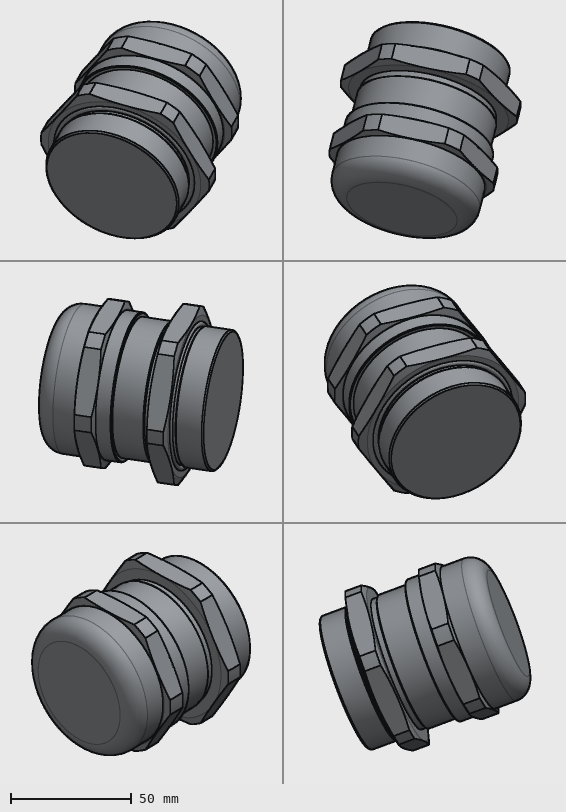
import cadquery as cq
import math


total_length = 72.52

thread_radius = 59.3 / 2
undercut_radius = 57.9 / 2
end_chamfer_length = 0.7
entry_thread_end = 12.25
cap_thread_start = 25.5
thread_runout_length = 0.5

hex_length = 9.0
hex_chamfer_angle = 15.0
body_hex_start = 14.0
body_hex_flats = 68.0
body_hex_corners = 75.0
cap_hex_start = 46.0
cap_hex_flats = 64.0
cap_hex_corners = 70.0

seal_outer_radius = 31.4
seal_section_radius = (seal_outer_radius - undercut_radius) / 2
seal_protrusion = 0.9

cap_radius = 63.0 / 2
cap_start = 39.2
cap_rim_chamfer = 0.4
dome_radius = 8.0


def revolve_about_axis(profile):
    """Turn a closed profile, drawn as (radius, position along Y), about the Y axis."""
    return profile.close().revolve(360, (0, 0, 0), (0, 1, 0))


def make_body():
    """Round body with a thread at each end and an undercut between them."""
    profile = (
        cq.Workplane("XY")
        .moveTo(0, 0)
        .lineTo(thread_radius - end_chamfer_length, 0)
        .lineTo(thread_radius, end_chamfer_length)
        .lineTo(thread_radius, entry_thread_end - thread_runout_length)
        .lineTo(undercut_radius, entry_thread_end)
        .lineTo(undercut_radius, cap_thread_start)
        .lineTo(thread_radius, cap_thread_start + thread_runout_length)
        .lineTo(thread_radius, cap_start)
        .lineTo(0, cap_start)
    )
    return revolve_about_axis(profile)


def make_cap():
    """Cap with a chamfered rim and a rounded closed end."""
    dome_start = total_length - dome_radius
    dome_flat_radius = cap_radius - dome_radius
    arc_offset = dome_radius * math.sqrt(0.5)
    profile = (
        cq.Workplane("XY")
        .moveTo(0, cap_start)
        .lineTo(cap_radius - cap_rim_chamfer, cap_start)
        .lineTo(cap_radius, cap_start + cap_rim_chamfer)
        .lineTo(cap_radius, dome_start)
        .threePointArc(
            (dome_flat_radius + arc_offset, dome_start + arc_offset),
            (dome_flat_radius, total_length),
        )
        .lineTo(0, total_length)
    )
    return revolve_about_axis(profile)


def make_hexagon(start, across_flats, across_corners):
    """Hexagon with rounded corners, chamfered conically on both faces."""
    end = start + hex_length
    flat_radius = across_flats / 2
    corner_radius = across_corners / 2
    chamfer_length = (corner_radius - flat_radius) * math.tan(math.radians(hex_chamfer_angle))
    prism = (
        cq.Workplane("XZ", origin=(0, start, 0))
        .polygon(6, across_flats / math.cos(math.pi / 6))
        .extrude(-hex_length)
    )
    envelope = revolve_about_axis(
        cq.Workplane("XY")
        .moveTo(0, start)
        .lineTo(flat_radius, start)
        .lineTo(corner_radius, start + chamfer_length)
        .lineTo(corner_radius, end - chamfer_length)
        .lineTo(flat_radius, end)
        .lineTo(0, end)
    )
    return prism.intersect(envelope)


def make_seal():
    """Round-section ring, partly sunk into the face of the body hexagon."""
    ring_radius = undercut_radius + seal_section_radius
    ring_position = body_hex_start - seal_protrusion + seal_section_radius
    return (
        cq.Workplane("XY")
        .center(ring_radius, ring_position)
        .circle(seal_section_radius)
        .revolve(360, (-ring_radius, 0, 0), (-ring_radius, 1, 0))
    )


result = (
    make_body()
    .union(make_cap())
    .union(make_hexagon(body_hex_start, body_hex_flats, body_hex_corners))
    .union(make_hexagon(cap_hex_start, cap_hex_flats, cap_hex_corners))
    .union(make_seal())
)